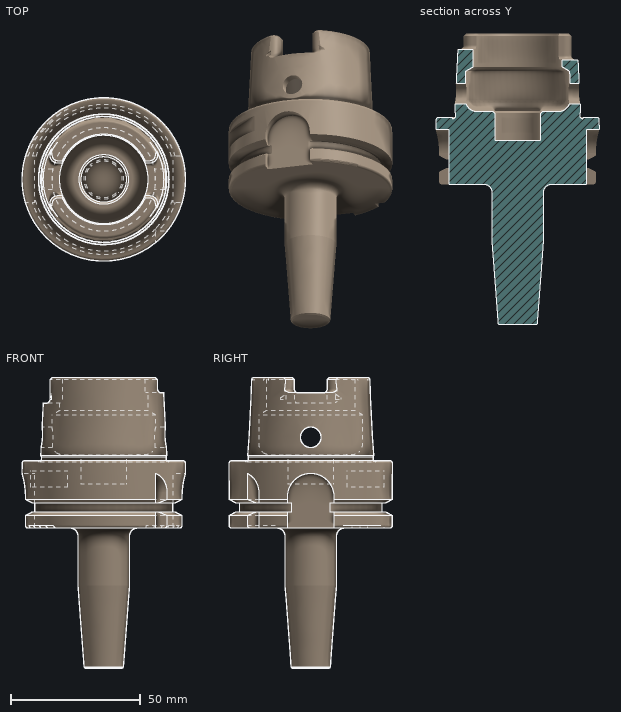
import cadquery as cq
import math


TOTAL_LENGTH = 112.0
TAPER_TOP = 32.0
SHANK_END = TAPER_TOP - TOTAL_LENGTH

TAPER_TOP_RADIUS = 22.8
TAPER_BASE_RADIUS = 24.3
TAPER_BASE = 2.0
RELIEF_RADIUS = 24.1
RELIEF_TOP = 1.5
RELIEF_DEPTH = 0.6
RELIEF_FILLET = 0.9
RELIEF_OUTER_RADIUS = 25.2
TAPER_EDGE_FILLET = 1.0
TANG_EDGE_CHAMFER = 0.9
TANG_CHAMFER_ANGLE = 45.0

FLANGE_RADIUS = 31.5
FLANGE_BOTTOM = -26.0
FLANGE_EDGE_FILLET = 1.0
GROOVE_CENTER = -18.0
GROOVE_HALF_WIDTH = 1.7
GROOVE_MOUTH_HALF_WIDTH = 3.1
GROOVE_SHOULDER_RADIUS = 28.9
GROOVE_RADIUS = 27.5

SHANK_RADIUS = 10.0
SHANK_FILLET = 3.0
SHANK_STRAIGHT_END = SHANK_END + 31.8
SHANK_TIP_RADIUS = 7.0
SHANK_TIP_CHAMFER = 0.6

BORE_RADIUS = 17.0
BORE_CHAMFER_WIDTH = 0.5
BORE_CHAMFER_HEIGHT = 0.9
LIP_END = TAPER_TOP - 12.8
UNDERCUT_RADIUS = 19.9
UNDERCUT_ANGLE = 30.0
BORE_FLOOR_FILLET = 4.1
BORE_FLOOR = TAPER_TOP - 29.8
SOCKET_RADIUS = 8.7
SOCKET_CHAMFER = 0.8
SOCKET_DEPTH = 11.2

TANG_HALF_GAP = 6.3
TANG_CORNER_RADIUS = 3.0
TANG_OUTER_FACE = 20.7
LEFT_SLOT_DEPTH = 10.0
RIGHT_SLOT_DEPTH = 5.9
SLOT_FLOOR_FILLET = 1.5

SPUR_FACE = 20.0
SPUR_HEIGHT = 2.0
SPUR_INNER = 9.5
SPUR_TIP = 12.5

CROSS_HOLE_RADIUS = 3.9
CROSS_HOLE_HEIGHT = TAPER_TOP - 23.1

KEYWAY_FLOOR = 26.5
KEYWAY_HALF_WIDTH = 9.0
KEYWAY_TOP = -4.9
NOTCH_WALL = 19.9
NOTCH_TOP = -4.9
NOTCH_ARC_RADIUS = 8.3
FLAT_DISTANCE = 29.8
FLAT_HEIGHT = 6.2
FLAT_CENTER = -7.0
FLAT_DIRECTION = 135.0


def arc_inset(radius):
    """Distance from either tangent line to the middle of a quarter arc."""
    return radius * (1 - math.sqrt(0.5))


def revolve_profile(outline):
    """Turn an outline of radius and height about the Z axis."""
    return outline.close().revolve(360, (0, 0, 0), (0, 1, 0))


def make_body():
    """Solid of revolution: taper, relief, flange, gripper groove and shank."""
    edge = FLANGE_EDGE_FILLET
    mouth_top = GROOVE_CENTER + GROOVE_MOUTH_HALF_WIDTH
    mouth_bottom = GROOVE_CENTER - GROOVE_MOUTH_HALF_WIDTH
    groove_top = GROOVE_CENTER + GROOVE_HALF_WIDTH
    groove_bottom = GROOVE_CENTER - GROOVE_HALF_WIDTH
    edge_inset = arc_inset(edge)
    taper_inset = arc_inset(TAPER_EDGE_FILLET)
    relief_inset = arc_inset(RELIEF_FILLET)
    shank_inset = arc_inset(SHANK_FILLET)
    outline = (
        cq.Workplane("XZ")
        .moveTo(0, TAPER_TOP)
        .lineTo(TAPER_TOP_RADIUS - TAPER_EDGE_FILLET, TAPER_TOP)
        .threePointArc(
            (TAPER_TOP_RADIUS - taper_inset, TAPER_TOP - taper_inset),
            (TAPER_TOP_RADIUS, TAPER_TOP - TAPER_EDGE_FILLET),
        )
        .lineTo(TAPER_BASE_RADIUS, TAPER_BASE)
        .lineTo(RELIEF_RADIUS, RELIEF_TOP)
        .lineTo(RELIEF_RADIUS, RELIEF_FILLET - RELIEF_DEPTH)
        .threePointArc(
            (RELIEF_RADIUS + relief_inset, relief_inset - RELIEF_DEPTH),
            (RELIEF_RADIUS + RELIEF_FILLET, -RELIEF_DEPTH),
        )
        .lineTo(RELIEF_OUTER_RADIUS, 0)
        .lineTo(FLANGE_RADIUS - edge, 0)
        .threePointArc((FLANGE_RADIUS - edge_inset, -edge_inset), (FLANGE_RADIUS, -edge))
        .lineTo(FLANGE_RADIUS, mouth_top)
        .lineTo(GROOVE_SHOULDER_RADIUS, groove_top)
        .lineTo(GROOVE_RADIUS, groove_top)
        .lineTo(GROOVE_RADIUS, groove_bottom)
        .lineTo(GROOVE_SHOULDER_RADIUS, groove_bottom)
        .lineTo(FLANGE_RADIUS, mouth_bottom)
        .lineTo(FLANGE_RADIUS, FLANGE_BOTTOM + edge)
        .threePointArc(
            (FLANGE_RADIUS - edge_inset, FLANGE_BOTTOM + edge_inset),
            (FLANGE_RADIUS - edge, FLANGE_BOTTOM),
        )
        .lineTo(SHANK_RADIUS + SHANK_FILLET, FLANGE_BOTTOM)
        .threePointArc(
            (SHANK_RADIUS + shank_inset, FLANGE_BOTTOM - shank_inset),
            (SHANK_RADIUS, FLANGE_BOTTOM - SHANK_FILLET),
        )
        .lineTo(SHANK_RADIUS, SHANK_STRAIGHT_END)
        .lineTo(SHANK_TIP_RADIUS + SHANK_TIP_CHAMFER, SHANK_END + SHANK_TIP_CHAMFER)
        .lineTo(SHANK_TIP_RADIUS, SHANK_END)
        .lineTo(0, SHANK_END)
    )
    return revolve_profile(outline)


def make_interior():
    """Cutter for the bore with clamping lip and undercut, and the blind socket in its floor."""
    undercut_top = LIP_END - (UNDERCUT_RADIUS - BORE_RADIUS) * math.tan(math.radians(UNDERCUT_ANGLE))
    floor_inset = arc_inset(BORE_FLOOR_FILLET)
    outline = (
        cq.Workplane("XZ")
        .moveTo(0, TAPER_TOP)
        .lineTo(BORE_RADIUS + BORE_CHAMFER_WIDTH, TAPER_TOP)
        .lineTo(BORE_RADIUS, TAPER_TOP - BORE_CHAMFER_HEIGHT)
        .lineTo(BORE_RADIUS, LIP_END)
        .lineTo(UNDERCUT_RADIUS, undercut_top)
        .lineTo(UNDERCUT_RADIUS, BORE_FLOOR + BORE_FLOOR_FILLET)
        .threePointArc(
            (UNDERCUT_RADIUS - floor_inset, BORE_FLOOR + floor_inset),
            (UNDERCUT_RADIUS - BORE_FLOOR_FILLET, BORE_FLOOR),
        )
        .lineTo(SOCKET_RADIUS + SOCKET_CHAMFER, BORE_FLOOR)
        .lineTo(SOCKET_RADIUS, BORE_FLOOR - SOCKET_CHAMFER)
        .lineTo(SOCKET_RADIUS, BORE_FLOOR - SOCKET_DEPTH)
        .lineTo(0, BORE_FLOOR - SOCKET_DEPTH)
    )
    return revolve_profile(outline)


def drive_slot_outline():
    """Slot outline on +X: a gap that widens around the rounded tang corners."""
    radius = TANG_CORNER_RADIUS
    inset = arc_inset(radius)
    reach = FLANGE_RADIUS
    arc_start = TANG_OUTER_FACE - radius
    arc_end = TANG_HALF_GAP + radius
    return (
        cq.Workplane("XY")
        .moveTo(0, -TANG_HALF_GAP)
        .lineTo(arc_start, -TANG_HALF_GAP)
        .threePointArc((TANG_OUTER_FACE - inset, -TANG_HALF_GAP - inset), (TANG_OUTER_FACE, -arc_end))
        .lineTo(TANG_OUTER_FACE, -reach)
        .lineTo(reach, -reach)
        .lineTo(reach, reach)
        .lineTo(TANG_OUTER_FACE, reach)
        .lineTo(TANG_OUTER_FACE, arc_end)
        .threePointArc((TANG_OUTER_FACE - inset, TANG_HALF_GAP + inset), (arc_start, TANG_HALF_GAP))
        .lineTo(0, TANG_HALF_GAP)
        .close()
    )


def make_drive_slot(depth):
    """Cutter for the slot on +X, with a rounded floor edge and a chamfered mouth."""
    slot = drive_slot_outline().extrude(depth).faces("<Z").edges().fillet(SLOT_FLOOR_FILLET)
    slot = slot.translate((0, 0, TAPER_TOP - depth))
    mouth = drive_slot_outline().extrude(TANG_EDGE_CHAMFER, taper=-TANG_CHAMFER_ANGLE)
    return slot.union(mouth.translate((0, 0, TAPER_TOP - TANG_EDGE_CHAMFER)))


def make_spur():
    """Cutter for the triangular relief on the +Y side of the -X slot."""
    base = TAPER_TOP - LEFT_SLOT_DEPTH + SLOT_FLOOR_FILLET
    return (
        cq.Workplane("YZ", origin=(-FLANGE_RADIUS, 0, 0))
        .moveTo(SPUR_INNER, base)
        .lineTo(SPUR_TIP, base)
        .lineTo(SPUR_INNER, base + SPUR_HEIGHT)
        .close()
        .extrude(FLANGE_RADIUS - SPUR_FACE)
    )


def make_keyway():
    """Round-topped cutter for the gripper keyway on +X."""
    height = KEYWAY_TOP - KEYWAY_HALF_WIDTH - FLANGE_BOTTOM
    width = 2 * KEYWAY_HALF_WIDTH
    arch_center = KEYWAY_TOP - KEYWAY_HALF_WIDTH
    plane = cq.Workplane("YZ", origin=(KEYWAY_FLOOR, 0, 0))
    straight = plane.center(0, arch_center - height / 2).rect(width, height).extrude(FLANGE_RADIUS)
    return straight.union(plane.center(0, arch_center).circle(KEYWAY_HALF_WIDTH).extrude(FLANGE_RADIUS))


def make_notch():
    """Square corner notch at 45 degrees, running out upwards along an arc."""
    outer = -FLANGE_RADIUS
    arc_center_y = -NOTCH_WALL - NOTCH_ARC_RADIUS
    rim = -math.sqrt(FLANGE_RADIUS**2 - NOTCH_WALL**2)
    arc_base = NOTCH_TOP - math.sqrt(NOTCH_ARC_RADIUS**2 - (rim - arc_center_y) ** 2)
    bend = NOTCH_ARC_RADIUS * math.sqrt(0.5)
    return (
        cq.Workplane("YZ", origin=(NOTCH_WALL, 0, 0))
        .moveTo(outer, FLANGE_BOTTOM)
        .lineTo(-NOTCH_WALL, FLANGE_BOTTOM)
        .lineTo(-NOTCH_WALL, arc_base)
        .threePointArc((arc_center_y + bend, arc_base + bend), (arc_center_y, arc_base + NOTCH_ARC_RADIUS))
        .lineTo(outer, arc_base + NOTCH_ARC_RADIUS)
        .close()
        .extrude(FLANGE_RADIUS)
    )


def make_flat():
    """Cutter for the small flat facing -X +Y."""
    return (
        cq.Workplane("XY")
        .box(FLANGE_RADIUS, 2 * FLANGE_RADIUS, FLAT_HEIGHT, centered=(False, True, True))
        .translate((FLAT_DISTANCE, 0, FLAT_CENTER))
        .rotate((0, 0, 0), (0, 0, 1), FLAT_DIRECTION)
    )


def turn_half(shape):
    """Copy turned half a revolution about Z."""
    return shape.rotate((0, 0, 0), (0, 0, 1), 180)


cross_hole = (
    cq.Workplane("YZ", origin=(-FLANGE_RADIUS, 0, CROSS_HOLE_HEIGHT))
    .circle(CROSS_HOLE_RADIUS)
    .extrude(2 * FLANGE_RADIUS)
)

result = make_body().cut(make_drive_slot(RIGHT_SLOT_DEPTH)).cut(turn_half(make_drive_slot(LEFT_SLOT_DEPTH)))
result = result.cut(make_spur()).cut(make_spur().mirror("XZ"))
result = result.cut(make_interior()).cut(cross_hole)
result = result.cut(make_keyway()).cut(turn_half(make_keyway()))
result = result.cut(make_notch()).cut(make_flat())